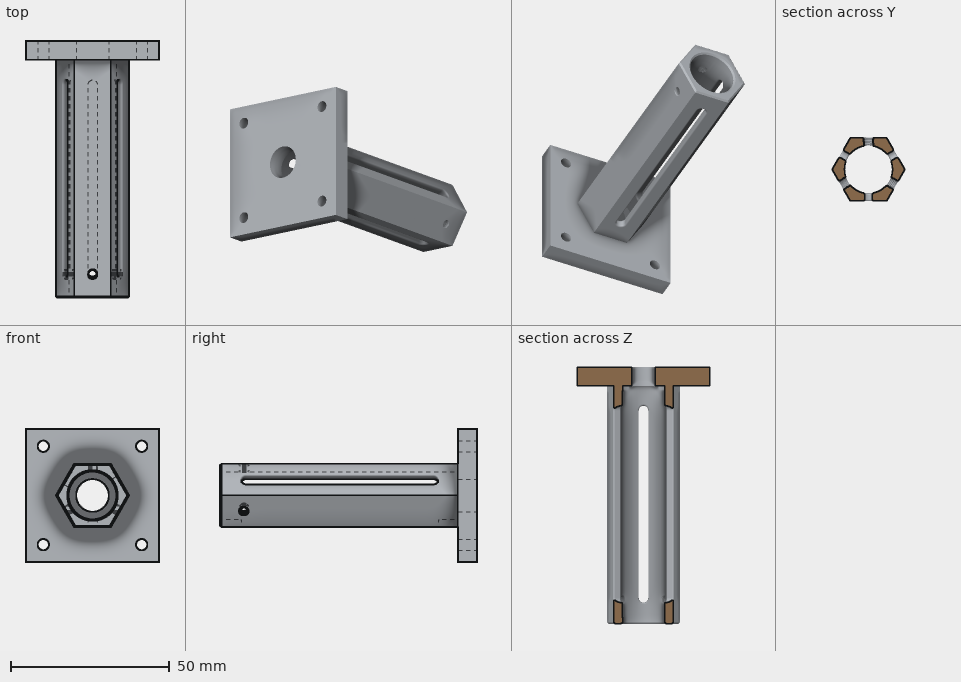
import cadquery as cq
import math

plate_side = 42.0
plate_thickness = 6.0
mount_hole_diameter = 3.5
mount_hole_spacing = 31.0
plate_bore_diameter = 10.25

tube_length = 75.0
across_flats = 20.0
across_corners = across_flats / math.cos(math.radians(30))
bore_diameter = 15.0
end_chamfer = 0.5

slot_width = 3.0
slot_fillet = 0.5
slot_start = 6.25
slot_end = 68.25
slot_angles = (60, 180, 300)

thread_minor_diameter = 2.53
thread_major_diameter = 3.09
thread_pitch = 0.5
thread_flank_angle = 30
thread_root_width = thread_pitch / 8
thread_start_angle = 90
thread_overlap = 0.05
screw_hole_from_end = 7.5
screw_angles = (0, 120, 240)

flat_distance = across_flats / 2
axis_start = (0, 0, 0)
axis_end = (0, 1, 0)


def make_plate():
    """Square flange with four mounting holes."""
    plate = cq.Workplane("XZ").rect(plate_side, plate_side).extrude(-plate_thickness)
    holes = (
        cq.Workplane("XZ")
        .rect(mount_hole_spacing, mount_hole_spacing, forConstruction=True)
        .vertices()
        .circle(mount_hole_diameter / 2)
        .extrude(-plate_thickness)
    )
    return plate.cut(holes)


def make_tube():
    """Hexagonal bar with flats at top and bottom and a chamfered free end."""
    bar = cq.Workplane("XZ").polygon(6, across_corners).extrude(tube_length)
    return bar.faces("<Y").chamfer(end_chamfer)


def make_bore():
    """Stepped bore along the axis, with a chamfered mouth at the free end."""
    mouth_radius = bore_diameter / 2 + end_chamfer
    wide_bore = cq.Workplane("XZ").circle(bore_diameter / 2).extrude(tube_length)
    narrow_bore = cq.Workplane("XZ").circle(plate_bore_diameter / 2).extrude(-plate_thickness)
    mouth = (
        cq.Workplane("XZ", origin=(0, -tube_length, 0))
        .circle(mouth_radius)
        .extrude(-end_chamfer, taper=45)
    )
    return wide_bore.union(narrow_bore).union(mouth)


def make_slot():
    """Cutter for the slot in the top flat, from the axis outwards."""
    middle = -(slot_start + slot_end) / 2
    return (
        cq.Workplane("XY", origin=(0, middle, 0))
        .slot2D(slot_end - slot_start, slot_width, 90)
        .extrude(flat_distance)
    )


def is_slot_rim(edge):
    """True for edges around a slot mouth, not for edges running through the wall."""
    box = edge.BoundingBox()
    shortest_rim_span = slot_width / 4
    within_slot = box.ymax < -slot_start + slot_fillet and box.ymin > -slot_end - slot_fillet
    return within_slot and box.ylen > shortest_rim_span


def round_slot_rims(body):
    """Fillet the outer and the bore-side rim of every slot."""
    return body.newObject(body.edges().filter(is_slot_rim).vals()).fillet(slot_fillet)


def make_screw_hole():
    """Cutter for the threaded hole in the top flat: a plain core and a helical groove."""
    position = screw_hole_from_end - tube_length
    minor_radius = thread_minor_diameter / 2
    major_radius = thread_major_diameter / 2
    inner_radius = minor_radius - thread_overlap

    thread_bottom = bore_diameter / 2 - 2 * thread_pitch
    thread_height = flat_distance + thread_pitch - thread_bottom

    root_half = thread_root_width / 2
    mouth_half = root_half + (major_radius - inner_radius) * math.tan(math.radians(thread_flank_angle))
    profile = (
        cq.Workplane("XZ")
        .moveTo(inner_radius, -mouth_half)
        .lineTo(major_radius, -root_half)
        .lineTo(major_radius, root_half)
        .lineTo(inner_radius, mouth_half)
        .close()
    )
    helix = cq.Wire.makeHelix(thread_pitch, thread_height, minor_radius)
    groove = profile.sweep(cq.Workplane(helix), isFrenet=True)
    groove = groove.rotate((0, 0, 0), (0, 0, 1), thread_start_angle)
    groove = groove.translate((0, position, thread_bottom))
    core = cq.Workplane("XY", origin=(0, position, 0)).circle(minor_radius).extrude(flat_distance)
    return core, groove


def cut_around_axis(body, cutter, angles):
    """Cut copies of a top-flat cutter, turned about the tube axis."""
    for angle in angles:
        body = body.cut(cutter.rotate(axis_start, axis_end, angle))
    return body


part = make_plate().union(make_tube()).cut(make_bore())
part = cut_around_axis(part, make_slot(), slot_angles)
part = round_slot_rims(part)
screw_core, thread_groove = make_screw_hole()
part = cut_around_axis(part, thread_groove, screw_angles)
part = cut_around_axis(part, screw_core, screw_angles)
result = cq.Workplane(part.solids().val())